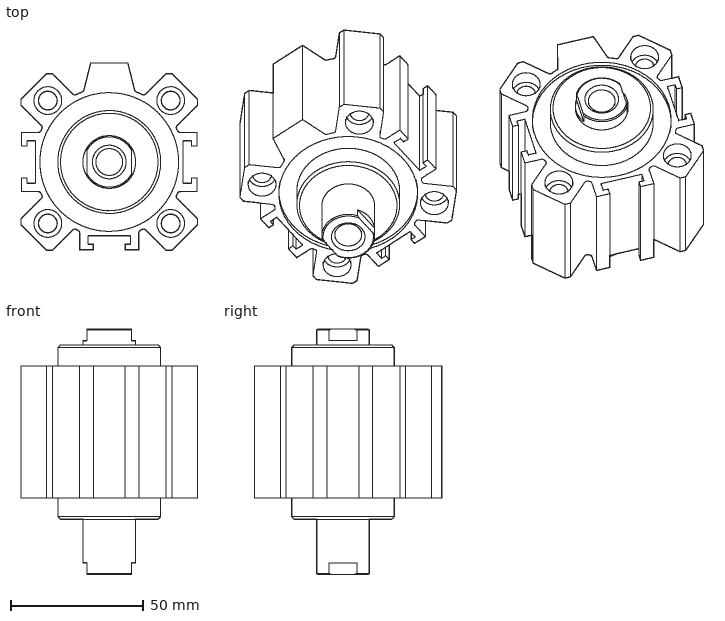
import cadquery as cq
import math

rod_length = 93.0
housing_height = 50.0
boss_height = 8.0
rod_top_projection = 6.0
boss_top_z = rod_length - rod_top_projection
housing_top_z = boss_top_z - boss_height
housing_bottom_z = housing_top_z - housing_height
boss_bottom_z = housing_bottom_z - boss_height

housing_half_width = 33.5
barrel_diameter = 56.9
arm_width = 16.9
arm_span = 80.9
rail_half_width = 11.25
rail_reach = 33.3
slot_half_width = 8.0
slot_mouth_half_width = 6.0
slot_floor = 28.0
slot_lip_thickness = 2.2
corner_fillet = 1.0
tongue_reach = 37.5
tongue_tip_half_width = 7.1
tongue_root_half_width = 10.1
tongue_root_y = 25.3

boss_diameter = 39.0
boss_chamfer = 1.0
recess_diameter = 52.5
recess_depth = 2.0
bolt_offset = 23.25
bolt_hole_diameter = 7.0
counterbore_diameter = 10.5
counterbore_depth = 6.5

rod_diameter = 20.0
rod_chamfer = 0.5
flat_spacing = 17.0
flat_height = 4.5
thread_hole_diameter = 10.1
thread_hole_depth = 18.6
thread_mouth_diameter = 12.7

corner_tolerance = 0.01

SLOT_TURNS = (0, 90, -90)


def prism(points):
    """Extrude a closed outline over the height of the housing."""
    return cq.Workplane("XY", origin=(0, 0, housing_bottom_z)).polyline(points).close().extrude(housing_height)


def block(width, depth):
    """Centred rectangular block as tall as the housing."""
    return cq.Workplane("XY", origin=(0, 0, housing_bottom_z)).rect(width, depth).extrude(housing_height)


def cylinder(diameter, z_start, z_end):
    """Upright cylinder on the Z axis."""
    return cq.Workplane("XY", origin=(0, 0, z_start)).circle(diameter / 2).extrude(z_end - z_start)


def turn(shape, angle):
    """Turn a shape about the Z axis."""
    return shape.rotate((0, 0, 0), (0, 0, 1), angle)


def corner_arms():
    """Diagonal cross whose tips are cut off by the square envelope."""
    bar = block(arm_span, arm_width)
    cross = turn(bar, 45).union(turn(bar, -45))
    return cross.intersect(block(2 * housing_half_width, 2 * housing_half_width))


def rail_block():
    """Solid bar on the -Y side, later hollowed by the T-slot."""
    return block(2 * rail_half_width, rail_reach).translate((0, -rail_reach / 2, 0))


def t_slot():
    """Void that leaves a pair of hooked lips on the -Y side."""
    lip_inner = rail_reach - slot_lip_thickness
    return prism([
        (-slot_mouth_half_width, -rail_reach),
        (-slot_mouth_half_width, -lip_inner),
        (-slot_half_width, -lip_inner),
        (-slot_half_width, -slot_floor),
        (slot_half_width, -slot_floor),
        (slot_half_width, -lip_inner),
        (slot_mouth_half_width, -lip_inner),
        (slot_mouth_half_width, -rail_reach),
    ])


def tongue():
    """Tapered solid rib on the +Y side."""
    return prism([
        (-tongue_root_half_width, tongue_root_y),
        (-tongue_tip_half_width, tongue_reach),
        (tongue_tip_half_width, tongue_reach),
        (tongue_root_half_width, tongue_root_y),
    ])


def round_barrel_corners(body):
    """Fillet the upright inner corners, which all lie on the barrel's radius."""
    radius = barrel_diameter / 2
    corners = [
        edge for edge in body.edges("|Z").vals()
        if abs(math.hypot(edge.Center().x, edge.Center().y) - radius) < corner_tolerance
    ]
    return body.newObject(corners).fillet(corner_fillet)


def housing_profile():
    """Round barrel with four arms, three slotted rails and a tongue."""
    body = cylinder(barrel_diameter, housing_bottom_z, housing_top_z).union(corner_arms()).union(tongue())
    for angle in SLOT_TURNS:
        body = body.union(turn(rail_block(), angle))
    body = round_barrel_corners(body)
    for angle in SLOT_TURNS:
        body = body.cut(turn(t_slot(), angle))
    return body


def bolt_holes():
    """Through holes in the arms, counterbored from both ends."""
    hole = cylinder(bolt_hole_diameter, housing_bottom_z, housing_top_z)
    hole = hole.union(cylinder(counterbore_diameter, housing_top_z - counterbore_depth, housing_top_z))
    hole = hole.union(cylinder(counterbore_diameter, housing_bottom_z, housing_bottom_z + counterbore_depth))
    offsets = (-bolt_offset, bolt_offset)
    return [hole.translate((x, y, 0)) for x in offsets for y in offsets]


def make_housing():
    """Profile with recessed end faces, a chamfered boss at each end and a bore for the rod."""
    body = housing_profile()
    body = body.cut(cylinder(recess_diameter, housing_top_z - recess_depth, housing_top_z))
    body = body.cut(cylinder(recess_diameter, housing_bottom_z, housing_bottom_z + recess_depth))
    boss = cylinder(boss_diameter, boss_bottom_z, boss_top_z).faces("<Z or >Z").chamfer(boss_chamfer)
    body = body.union(boss)
    for hole in bolt_holes():
        body = body.cut(hole)
    return body.cut(cylinder(rod_diameter, boss_bottom_z, boss_top_z))


def upper_thread_hole():
    """Blind hole with a 45 degree countersunk mouth in the upper end of the rod."""
    countersink_depth = (thread_mouth_diameter - thread_hole_diameter) / 2
    hole = cylinder(thread_hole_diameter, rod_length - thread_hole_depth, rod_length)
    mouth = (cq.Workplane("XY", origin=(0, 0, rod_length)).circle(thread_mouth_diameter / 2)
             .workplane(offset=-countersink_depth).circle(thread_hole_diameter / 2).loft())
    return hole.union(mouth)


def make_rod():
    """Double-ended rod with wrench flats and a threaded hole at each end."""
    rod = cylinder(rod_diameter, 0, rod_length).faces("<Z or >Z").chamfer(rod_chamfer)
    end_zone = cylinder(rod_diameter, 0, flat_height).union(
        cylinder(rod_diameter, rod_length - flat_height, rod_length))
    between_flats = cq.Workplane("XY").rect(flat_spacing, rod_diameter).extrude(rod_length)
    rod = rod.cut(end_zone.cut(between_flats))
    hole = upper_thread_hole()
    lower_hole = hole.mirror("XY", (0, 0, rod_length / 2))
    return rod.cut(hole).cut(lower_hole)


housing = make_housing()
rod = make_rod()

result = cq.Compound.makeCompound([housing.val(), rod.val()])